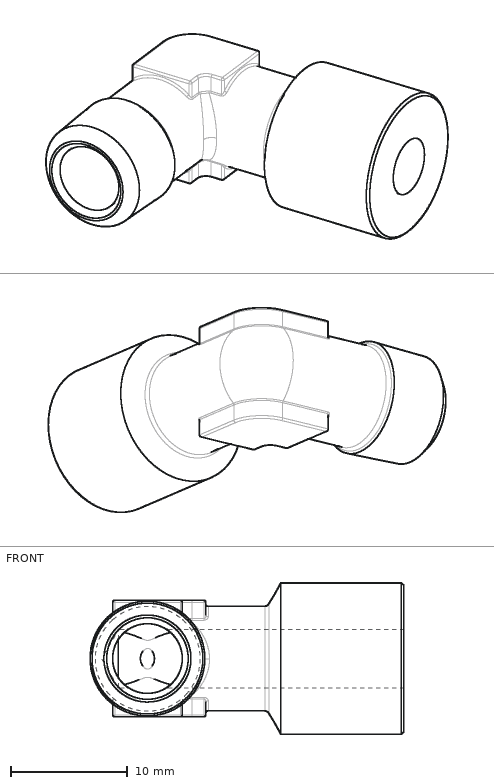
import cadquery as cq
import math

PIPE_RADIUS = 4.5

SOCKET_DIAMETER = 13.0
SOCKET_RADIUS = SOCKET_DIAMETER / 2
SOCKET_START = 11.45
SOCKET_END = 22.0
SOCKET_CONE_ANGLE = 60
SOCKET_END_CHAMFER = 0.22
NECK_FILLET = 0.4

PLUG_LARGE_RADIUS = 4.93
PLUG_START = 10.55
PLUG_END = 17.0
PLUG_TAPER = 1 / 16
PLUG_END_CHAMFER = 1.02
PLUG_SHOULDER_LENGTH = 0.32
PLUG_SHOULDER_FILLET = 0.5

PAD_HALF_WIDTH = 3.0
PAD_REACH = 5.0
PAD_HEIGHT = PAD_REACH
PAD_INNER_RADIUS = 0.8
PAD_FILLET = 0.2
CROTCH_FILLET = 0.8

PLUG_BORE_RADIUS = 3.0
PLUG_BORE_TIP_Y = 2.85
PLUG_COUNTERSINK = 0.5
SOCKET_BORE_RADIUS = 2.5
SOCKET_BORE_SHOULDER_X = -2.5
DRILL_TIP_SLOPE = math.tan(math.radians(30))

PICK_MARGIN = 0.03


def edges_across(solid, direction, position):
    """Edges lying in the plane square to an arm's axis at a signed position along it."""
    reach = PIPE_RADIUS + PICK_MARGIN
    if direction == "X":
        low = (position - PICK_MARGIN, -reach, -reach)
        high = (position + PICK_MARGIN, reach, reach)
    else:
        low = (-reach, position - PICK_MARGIN, -reach)
        high = (reach, position + PICK_MARGIN, reach)
    return solid.edges(cq.selectors.BoxSelector(low, high, boundingbox=True))


def make_socket_arm():
    """Pipe, cone and socket revolved about the X axis."""
    cone_length = (SOCKET_RADIUS - PIPE_RADIUS) / math.tan(math.radians(SOCKET_CONE_ANGLE))
    cone_start = SOCKET_START - cone_length
    arm = (
        cq.Workplane("XY")
        .polyline([
            (0, 0),
            (0, PIPE_RADIUS),
            (cone_start, PIPE_RADIUS),
            (SOCKET_START, SOCKET_RADIUS),
            (SOCKET_END, SOCKET_RADIUS),
            (SOCKET_END, 0),
        ])
        .close()
        .revolve(360, (0, 0, 0), (1, 0, 0))
    )
    arm = edges_across(arm, "X", cone_start).fillet(NECK_FILLET)
    return arm.faces(">X").edges().chamfer(SOCKET_END_CHAMFER)


def make_plug_arm():
    """Pipe, shoulder and tapered plug revolved about the Y axis."""
    shoulder_start = PLUG_START - PLUG_SHOULDER_LENGTH
    chamfer_start = PLUG_END - PLUG_END_CHAMFER
    small_radius = PLUG_LARGE_RADIUS - PLUG_TAPER / 2 * (chamfer_start - PLUG_START)
    arm = (
        cq.Workplane("XY")
        .polyline([
            (0, 0),
            (PIPE_RADIUS, 0),
            (PIPE_RADIUS, -shoulder_start),
            (PLUG_LARGE_RADIUS, -PLUG_START),
            (small_radius, -chamfer_start),
            (small_radius - PLUG_END_CHAMFER, -PLUG_END),
            (0, -PLUG_END),
        ])
        .close()
        .revolve(360, (0, 0, 0), (0, 1, 0))
    )
    return edges_across(arm, "Y", -shoulder_start).fillet(PLUG_SHOULDER_FILLET)


def make_pads():
    """One L-shaped block whose two ends stand out of the elbow as wrench pads."""
    block = (
        cq.Workplane("XY")
        .workplane(offset=-PAD_HEIGHT)
        .moveTo(-PAD_HALF_WIDTH, -PAD_REACH)
        .lineTo(-PAD_HALF_WIDTH, 0)
        .radiusArc((0, PAD_HALF_WIDTH), PAD_HALF_WIDTH)
        .lineTo(PAD_REACH, PAD_HALF_WIDTH)
        .lineTo(PAD_REACH, -PAD_HALF_WIDTH)
        .lineTo(PAD_HALF_WIDTH + PAD_INNER_RADIUS, -PAD_HALF_WIDTH)
        .radiusArc((PAD_HALF_WIDTH, -PAD_HALF_WIDTH - PAD_INNER_RADIUS), -PAD_INNER_RADIUS)
        .lineTo(PAD_HALF_WIDTH, -PAD_REACH)
        .close()
        .extrude(2 * PAD_HEIGHT)
    )
    block = block.faces(">X or <Y").edges("|Z").fillet(PAD_FILLET)
    return block.faces("<Z or >Z").edges().fillet(PAD_FILLET)


def round_crotch(body):
    """Round the inside corner, where the two pipes meet along elliptical edges."""
    return body.edges("%ELLIPSE").fillet(CROTCH_FILLET)


def round_pad_bases(body):
    """Round the seams where the pad walls run into the pipes and the elbow."""
    reach = PAD_REACH + PICK_MARGIN
    for low_z, high_z in (
        (PAD_HALF_WIDTH, PIPE_RADIUS + PICK_MARGIN),
        (-PIPE_RADIUS - PICK_MARGIN, -PAD_HALF_WIDTH),
    ):
        pad_seams = cq.selectors.BoxSelector(
            (-reach, -reach, low_z), (reach, reach, high_z), boundingbox=True
        )
        body = body.edges(pad_seams).fillet(PAD_FILLET)
    return body


def make_plug_bore():
    """Countersunk hole with a conical drill tip, revolved about the Y axis."""
    tip_shoulder = PLUG_BORE_TIP_Y - PLUG_BORE_RADIUS * DRILL_TIP_SLOPE
    return (
        cq.Workplane("XY")
        .polyline([
            (0, PLUG_BORE_TIP_Y),
            (PLUG_BORE_RADIUS, tip_shoulder),
            (PLUG_BORE_RADIUS, -PLUG_END + PLUG_COUNTERSINK),
            (PLUG_BORE_RADIUS + PLUG_COUNTERSINK, -PLUG_END),
            (0, -PLUG_END),
        ])
        .close()
        .revolve(360, (0, 0, 0), (0, 1, 0))
    )


def make_socket_bore():
    """Plain hole with a conical drill tip, revolved about the X axis."""
    tip = SOCKET_BORE_SHOULDER_X - SOCKET_BORE_RADIUS * DRILL_TIP_SLOPE
    return (
        cq.Workplane("XY")
        .polyline([
            (tip, 0),
            (SOCKET_BORE_SHOULDER_X, SOCKET_BORE_RADIUS),
            (SOCKET_END, SOCKET_BORE_RADIUS),
            (SOCKET_END, 0),
        ])
        .close()
        .revolve(360, (0, 0, 0), (1, 0, 0))
    )


elbow = cq.Workplane("XY").sphere(PIPE_RADIUS)
body = make_socket_arm().union(make_plug_arm()).union(elbow).union(make_pads())
body = round_crotch(body)
body = round_pad_bases(body)
result = body.cut(make_plug_bore()).cut(make_socket_bore())